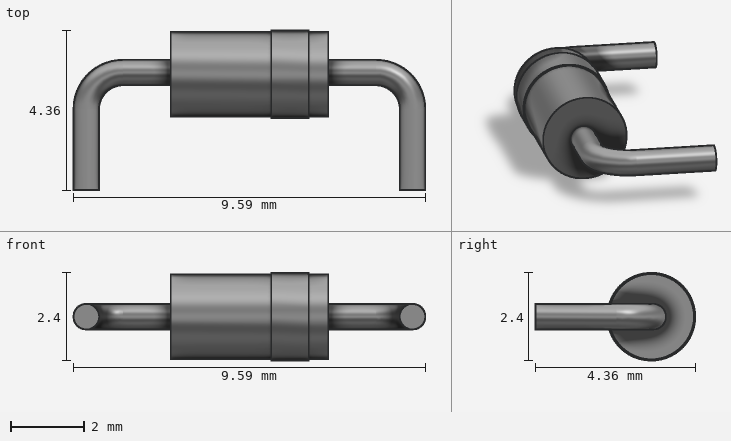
import cadquery as cq

total_length = 9.59

housing_diameter = 2.32
housing_length = 4.3

band_diameter = 2.4
band_width = 1.02
band_center_x = 1.1

wire_diameter = 0.7
bend_radius = 1.0
wire_offset_y = 0.05
leg_reach = 3.155

leg_x = (total_length - wire_diameter) / 2


def cylinder_along_x(diameter, length, center_x=0, center_y=0):
    """Solid cylinder parallel to X with its middle at center_x, center_y."""
    return (
        cq.Workplane("YZ", origin=(center_x - length / 2, center_y, 0))
        .circle(diameter / 2)
        .extrude(length)
    )


def make_housing():
    """Cylinder with a slightly off-centre through bore that the wire fills."""
    bore = cylinder_along_x(wire_diameter, housing_length, center_y=wire_offset_y)
    return cylinder_along_x(housing_diameter, housing_length).cut(bore)


def make_band():
    """Thin ring that fits closely around the housing."""
    inside = cylinder_along_x(housing_diameter, band_width, band_center_x)
    return cylinder_along_x(band_diameter, band_width, band_center_x).cut(inside)


def make_wire():
    """One round wire through the housing, bent toward -Y at both ends."""
    bend_start_x = leg_x - bend_radius
    bend_start_y = wire_offset_y - bend_radius
    path = (
        cq.Workplane("XY")
        .moveTo(-leg_x, -leg_reach)
        .lineTo(-leg_x, bend_start_y)
        .tangentArcPoint((-bend_start_x, wire_offset_y), relative=False)
        .lineTo(bend_start_x, wire_offset_y)
        .tangentArcPoint((leg_x, bend_start_y), relative=False)
        .lineTo(leg_x, -leg_reach)
    )
    return (
        cq.Workplane("XZ", origin=(-leg_x, -leg_reach, 0))
        .circle(wire_diameter / 2)
        .sweep(path)
    )


housing = make_housing()
band = make_band()
wire = make_wire()

result = cq.Compound.makeCompound([housing.val(), band.val(), wire.val()])